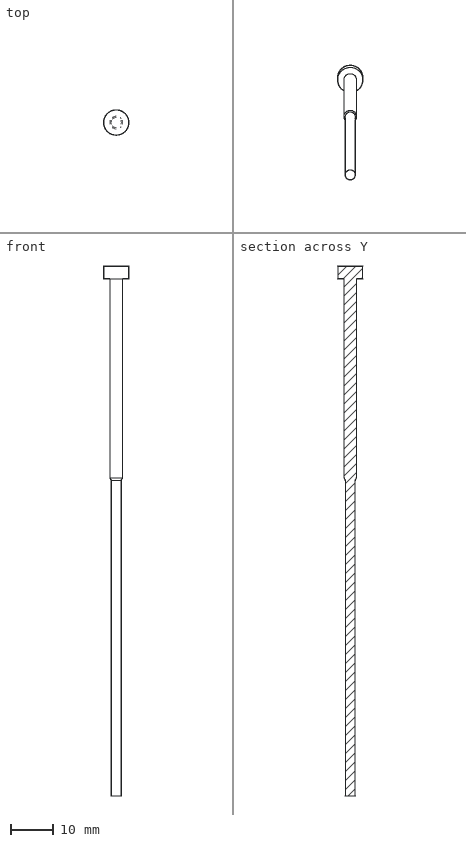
import cadquery as cq
import math

total_length = 125.0
head_diameter = 6.0
head_height = 3.0
shank_diameter = 3.0
tip_diameter = 2.4
shoulder_depth = 50.0
taper_half_angle = 30.0

head_radius = head_diameter / 2
shank_radius = shank_diameter / 2
tip_radius = tip_diameter / 2

taper_height = (shank_radius - tip_radius) / math.tan(math.radians(taper_half_angle))
shoulder_z = total_length - shoulder_depth
tip_top_z = shoulder_z - taper_height
head_bottom_z = total_length - head_height


def pin_half_section():
    """Half section of the pin: radius along local X, height along local Y."""
    return (
        cq.Workplane("XZ")
        .lineTo(tip_radius, 0)
        .lineTo(tip_radius, tip_top_z)
        .lineTo(shank_radius, shoulder_z)
        .lineTo(shank_radius, head_bottom_z)
        .lineTo(head_radius, head_bottom_z)
        .lineTo(head_radius, total_length)
        .lineTo(0, total_length)
        .close()
    )


result = pin_half_section().revolve(axisStart=(0, 0), axisEnd=(0, 1))